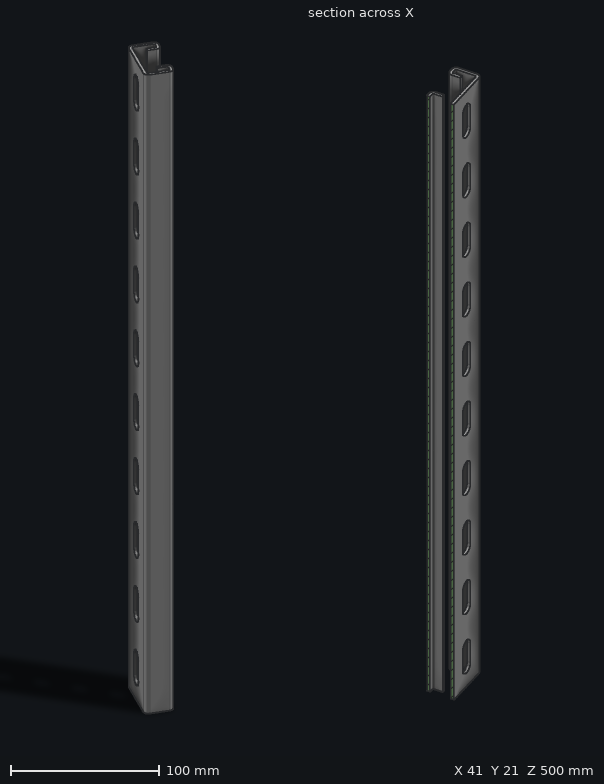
import cadquery as cq

width = 41.0
depth = 21.0
length = 500.0
thickness = 2.5
outer_bend_radius = 3.5
inner_bend_radius = outer_bend_radius - thickness
mouth_width = 22.0
lip_depth = 10.0

slot_count = 10
slot_pitch = length / slot_count
slot_length = 27.0
slot_width = 10.5


def block(x_min, x_max, y_min, y_max):
    """Full-length rectangular bar between the given X and Y limits."""
    return (
        cq.Workplane("XY")
        .box(x_max - x_min, y_max - y_min, length, centered=False)
        .translate((x_min, y_min, 0))
    )


def rounded_tube(x_min, x_max):
    """Full-depth bar with rounded outer bends, and the matching cavity inside it."""
    outer = block(x_min, x_max, 0, depth).edges("|Z").fillet(outer_bend_radius)
    inner = block(x_min + thickness, x_max - thickness, thickness, depth - thickness)
    return outer, inner.edges("|Z").fillet(inner_bend_radius)


def make_channel():
    """C-shaped channel whose side walls curl inward into two lips."""
    half_width = width / 2
    half_mouth = mouth_width / 2
    lip_end = depth - lip_depth

    shell, cavity = rounded_tube(-half_width, half_width)
    channel = shell.cut(cavity)
    channel = channel.cut(block(-half_width, half_width, lip_end, depth))

    for x_min, x_max in ((-half_width, -half_mouth), (half_mouth, half_width)):
        shell, cavity = rounded_tube(x_min, x_max)
        hook = shell.cut(cavity).intersect(block(x_min, x_max, lip_end, depth))
        channel = channel.union(hook)
    return channel.clean()


def make_slots():
    """Evenly pitched lengthwise slots, cut through the back web only."""
    slot_centers = [(0, (i + 0.5) * slot_pitch) for i in range(slot_count)]
    return (
        cq.Workplane("XZ")
        .pushPoints(slot_centers)
        .slot2D(slot_length, slot_width, 90)
        .extrude(-thickness)
    )


result = make_channel().cut(make_slots())
result = result.translate((0, -depth / 2, -length / 2))